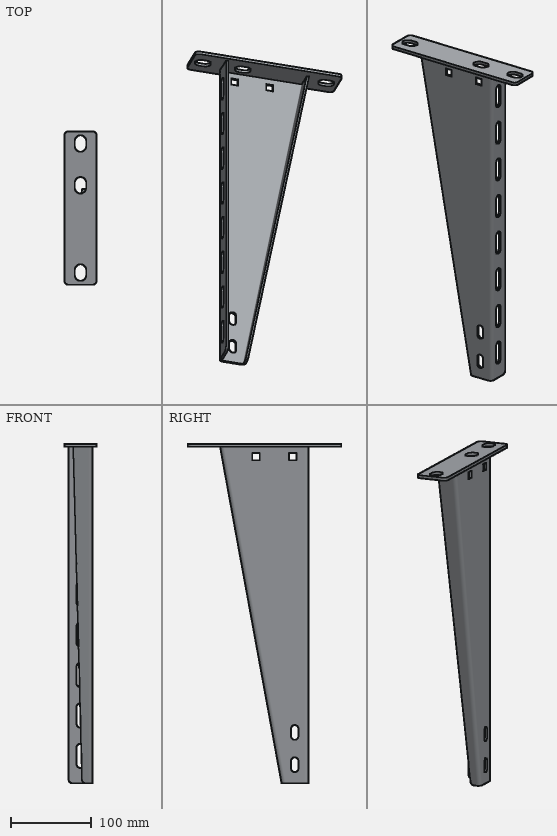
import cadquery as cq

OVERALL_HEIGHT = 420.0
PLATE_WIDTH = 40.0
PLATE_LENGTH = 190.0
PLATE_THICKNESS = 4.0
PLATE_CORNER_RADIUS = 5.0
PLATE_SLOT_LENGTH = 20.0
PLATE_SLOT_WIDTH = 14.0
END_SLOT_Y = 80.0
INNER_SLOT_Y = 28.0

CHANNEL_HEIGHT = OVERALL_HEIGHT - PLATE_THICKNESS
CHANNEL_WIDTH = PLATE_WIDTH - 2 * PLATE_CORNER_RADIUS
CHANNEL_BACK_Y = 54.5
TOP_DEPTH = 109.5
BOTTOM_DEPTH = 33.5
SHEET_THICKNESS = 3.0
BEND_INNER_RADIUS = 1.05
BEND_OUTER_RADIUS = 5.0
FLANGE_CORNER_RADIUS = 5.0
WEB_OUTER_X = CHANNEL_WIDTH / 2
WEB_INNER_X = WEB_OUTER_X - SHEET_THICKNESS
FREE_EDGE_X = -CHANNEL_WIDTH / 2

SLOPING_FLANGE_TOP_WIDTH = 24.0
SLOPING_FLANGE_BOTTOM_WIDTH = 13.0

BACK_SLOT_COUNT = 8
BACK_SLOT_PITCH = 50.0
BACK_SLOT_FIRST_Z = 34.0
BACK_SLOT_LENGTH = 30.0
BACK_SLOT_WIDTH = 9.5

SQUARE_HOLE_SIZE = 9.0
SQUARE_HOLE_DROP = 16.0
SQUARE_HOLE_Z = OVERALL_HEIGHT - SQUARE_HOLE_DROP
SQUARE_HOLE_SETBACKS = (19.7, 65.0)
WEB_SLOT_LENGTH = 18.0
WEB_SLOT_WIDTH = 9.0
WEB_SLOT_SETBACK = 17.2
WEB_SLOT_HEIGHTS = (23.0, 63.0)


def make_plate():
    """Flat head plate with rounded corners and three slots along its length."""
    slot_centres = [(0, END_SLOT_Y), (0, INNER_SLOT_Y), (0, -END_SLOT_Y)]
    return (
        cq.Workplane("XY", origin=(0, 0, CHANNEL_HEIGHT))
        .rect(PLATE_WIDTH, PLATE_LENGTH)
        .extrude(PLATE_THICKNESS)
        .edges("|Z")
        .fillet(PLATE_CORNER_RADIUS)
        .faces(">Z")
        .workplane()
        .pushPoints(slot_centres)
        .slot2D(PLATE_SLOT_LENGTH, PLATE_SLOT_WIDTH, 90)
        .cutThruAll()
    )


def tapered_block(inset, web_x, bend_radius):
    """Tapered block from the free edges to web_x, rounded where the flanges meet the web.

    The inset moves the back face and the sloping face inwards, measured square to each face.
    """
    taper_run = TOP_DEPTH - BOTTOM_DEPTH
    slope_length = (CHANNEL_HEIGHT**2 + taper_run**2) ** 0.5
    level_inset = inset * slope_length / CHANNEL_HEIGHT
    back_y = CHANNEL_BACK_Y - inset
    bottom_front_y = CHANNEL_BACK_Y - BOTTOM_DEPTH + level_inset
    top_front_y = CHANNEL_BACK_Y - TOP_DEPTH + level_inset
    return (
        cq.Workplane("YZ", origin=(FREE_EDGE_X, 0, 0))
        .moveTo(back_y, 0)
        .lineTo(bottom_front_y, 0)
        .lineTo(top_front_y, CHANNEL_HEIGHT)
        .lineTo(back_y, CHANNEL_HEIGHT)
        .close()
        .extrude(web_x - FREE_EDGE_X)
        .faces(">X")
        .edges("not |Y")
        .fillet(bend_radius)
    )


def sloping_flange_trim():
    """Wedge that narrows the sloping flange towards the bottom and clears the back flange."""
    return (
        cq.Workplane("XZ", origin=(0, CHANNEL_BACK_Y - SHEET_THICKNESS, 0))
        .moveTo(FREE_EDGE_X, 0)
        .lineTo(WEB_OUTER_X - SLOPING_FLANGE_BOTTOM_WIDTH, 0)
        .lineTo(WEB_OUTER_X - SLOPING_FLANGE_TOP_WIDTH, CHANNEL_HEIGHT)
        .lineTo(FREE_EDGE_X, CHANNEL_HEIGHT)
        .close()
        .extrude(TOP_DEPTH)
    )


def round_bottom_corners(channel):
    """Round the free bottom corner of each flange."""
    flange_corners = cq.selectors.BoxSelector(
        (FREE_EDGE_X - SHEET_THICKNESS, CHANNEL_BACK_Y - TOP_DEPTH, -SHEET_THICKNESS),
        (WEB_INNER_X - BEND_INNER_RADIUS, CHANNEL_BACK_Y + SHEET_THICKNESS, SHEET_THICKNESS),
    )
    return channel.edges("|Y").edges(flange_corners).fillet(FLANGE_CORNER_RADIUS)


def back_flange_slots():
    """Cutters for the evenly spaced slots in the back flange."""
    slot_centres = [(0, BACK_SLOT_FIRST_Z + i * BACK_SLOT_PITCH) for i in range(BACK_SLOT_COUNT)]
    return (
        cq.Workplane("XZ", origin=(0, CHANNEL_BACK_Y, 0))
        .pushPoints(slot_centres)
        .slot2D(BACK_SLOT_LENGTH, BACK_SLOT_WIDTH, 90)
        .extrude(SHEET_THICKNESS)
    )


def web_openings():
    """Cutters for the square holes near the top of the web and the slots near its foot."""
    hole_centres = [(CHANNEL_BACK_Y - setback, SQUARE_HOLE_Z) for setback in SQUARE_HOLE_SETBACKS]
    slot_centres = [(CHANNEL_BACK_Y - WEB_SLOT_SETBACK, z) for z in WEB_SLOT_HEIGHTS]
    web_inner_face = cq.Workplane("YZ", origin=(WEB_INNER_X, 0, 0))
    holes = (
        web_inner_face.pushPoints(hole_centres)
        .rect(SQUARE_HOLE_SIZE, SQUARE_HOLE_SIZE)
        .extrude(SHEET_THICKNESS)
    )
    slots = (
        web_inner_face.pushPoints(slot_centres)
        .slot2D(WEB_SLOT_LENGTH, WEB_SLOT_WIDTH, 90)
        .extrude(SHEET_THICKNESS)
    )
    return holes.add(slots).combine()


def make_channel():
    """Folded channel: a tapered web with a straight back flange and a sloping front flange."""
    outside = tapered_block(0, WEB_OUTER_X, BEND_OUTER_RADIUS)
    inside = tapered_block(SHEET_THICKNESS, WEB_INNER_X, BEND_INNER_RADIUS)
    channel = outside.cut(inside).cut(sloping_flange_trim())
    channel = round_bottom_corners(channel)
    return channel.cut(back_flange_slots()).cut(web_openings())


plate = make_plate()
channel = make_channel()

result = cq.Compound.makeCompound([plate.val(), channel.val()])